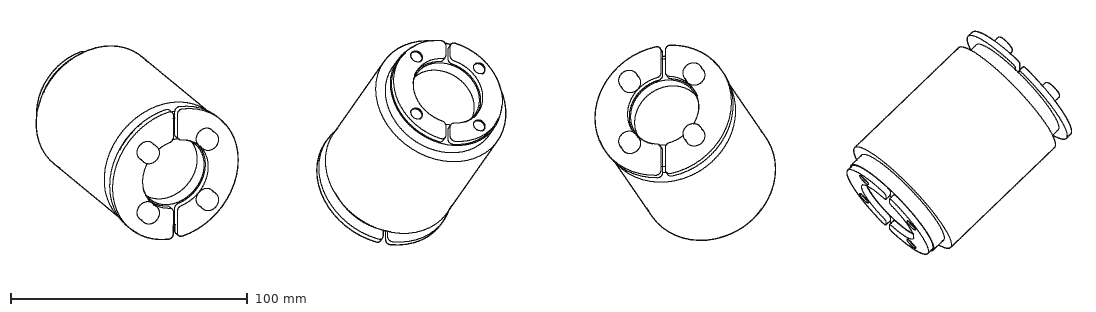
import cadquery as cq

overall_length = 85
plate_thickness = 2.6
collar_length = 6.3
body_length = 62.2

collar_start = plate_thickness
body_start = collar_start + collar_length
body_end = body_start + body_length
flange_start = body_end + collar_length
flange_end = flange_start + plate_thickness
pin_length = overall_length - flange_end

body_radius = 29.3
collar_radius = 25.0
collar_bore_radius = 15.05
open_plate_radius = 24.5
flange_radius = 30.0
plate_bore_radius = 15.6

slot_width = 1.95
slot_corner_radius = 2.0

pattern_spacing = 28.2
hole_radius = 2.6
hole_depth = 0.8
pin_radius = 4.25
pin_tip_rounding = 0.85


def plane_at(x):
    """YZ plane at x, with its normal along +X."""
    return cq.Workplane("YZ", origin=(x, 0, 0))


def pattern_at(x):
    """The four pattern points on the plane at x."""
    square = plane_at(x).rect(pattern_spacing, pattern_spacing, forConstruction=True)
    return square.vertices()


def collar(x):
    """Bored ring between the body and an end plate."""
    return plane_at(x).circle(collar_radius).circle(collar_bore_radius).extrude(collar_length)


def split_plate(x, outer_radius):
    """Ring split into two halves by a slot along Z, with the slot corners rounded."""
    ring = plane_at(x).circle(outer_radius).circle(plate_bore_radius).extrude(plate_thickness)
    slot = plane_at(x).rect(slot_width, 2 * outer_radius).extrude(plate_thickness)
    return ring.cut(slot).edges("|X").fillet(slot_corner_radius)


drum = plane_at(body_start).circle(body_radius).extrude(body_length)
drum = drum.union(collar(collar_start)).union(collar(body_end))

holes = pattern_at(0).circle(hole_radius).extrude(hole_depth)
open_plate = split_plate(0, open_plate_radius).cut(holes)

pins = pattern_at(flange_end).circle(pin_radius).extrude(pin_length)
pins = pins.faces(">X").edges().fillet(pin_tip_rounding)
flange = split_plate(flange_start, flange_radius).union(pins)

result = drum.union(open_plate).union(flange)